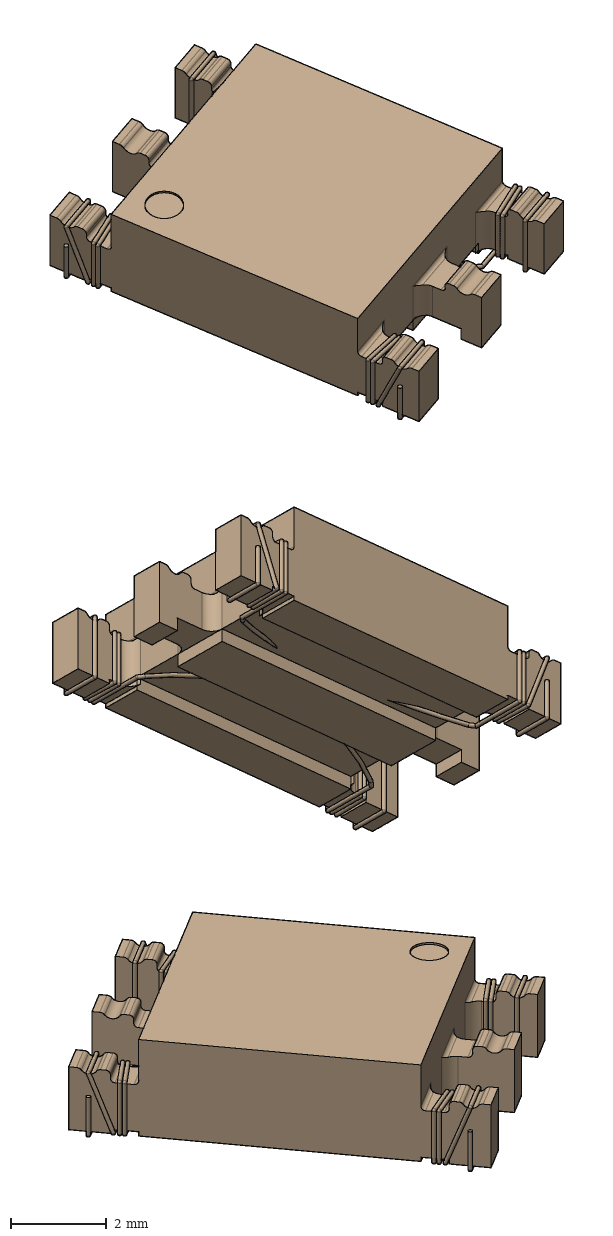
import cadquery as cq
import math

OVERALL_LENGTH = 9.0
BOX_LENGTH = 6.01
BOX_WIDTH = 5.89
BOX_HEIGHT = 2.28
CHANNEL_DEPTH = 0.31
SIDE_RAIL_WIDTH = 0.98

MARK_DIAMETER = 0.81
MARK_DEPTH = 0.045
MARK_X = -2.2
MARK_Y = -2.13

LUG_WIDTH = 0.79
LUG_TOP = 1.485
LUG_FLOOR = 1.21
STEP_X = -3.61
EDGE_RADIUS = 0.1
ROOT_RADIUS = 0.3
GROOVE_X = -4.07
GROOVE_WIDTH = 0.38
GROOVE_DEPTH = 0.13
GROOVE_ENTRY_RADIUS = 0.135
MIDDLE_FOOT_LENGTH = 0.5

WIRE_DIAMETER = 0.1
WIRE_START_Z = 0.855
TURN_PITCH = 0.11
FIRST_TURN_X = -3.51
SLANT_END_X = -3.54
BEND_START_Y = 1.64
ARCH_X = -3.18
ARCH_Y = 1.53
ARCH_Z = 0.07
CROWN_Y = 0.675
CROWN_Z = 0.45

LUG_END = -OVERALL_LENGTH / 2
BOX_FACE = -BOX_LENGTH / 2
SIDE_FACE = BOX_WIDTH / 2
LUG_INNER = SIDE_FACE - LUG_WIDTH
WIRE_RADIUS = WIRE_DIAMETER / 2
MIDDLE_RAIL_WIDTH = LUG_WIDTH + 2 * ROOT_RADIUS


def block(x0, x1, y0, y1, z0, z1):
    return cq.Workplane("XY").box(x1 - x0, y1 - y0, z1 - z0, centered=False).translate((x0, y0, z0))


def lug_profile(foot_end, undercut):
    """Side shape of a lug in XZ, wide enough in Y for every lug."""
    root_arc_center_x = BOX_FACE - EDGE_RADIUS
    root_arc_center_z = LUG_FLOOR + EDGE_RADIUS
    root_arc_middle = (
        root_arc_center_x + EDGE_RADIUS * math.sin(math.pi / 4),
        root_arc_center_z - EDGE_RADIUS * math.cos(math.pi / 4),
    )
    groove_start = GROOVE_X - GROOVE_WIDTH / 2
    groove_end = GROOVE_X + GROOVE_WIDTH / 2
    profile = (
        cq.Workplane("XZ")
        .moveTo(LUG_END, 0)
        .lineTo(LUG_END, LUG_TOP)
        .lineTo(groove_start, LUG_TOP)
        .threePointArc((GROOVE_X, LUG_TOP - GROOVE_DEPTH), (groove_end, LUG_TOP))
        .lineTo(STEP_X, LUG_TOP)
        .lineTo(STEP_X, LUG_FLOOR)
        .lineTo(root_arc_center_x, LUG_FLOOR)
        .threePointArc(root_arc_middle, (BOX_FACE, root_arc_center_z))
        .lineTo(BOX_FACE, undercut)
        .lineTo(foot_end, undercut)
        .lineTo(foot_end, 0)
        .close()
        .extrude(BOX_WIDTH / 2, both=True)
    )
    for x, z, radius in (
        (groove_start, LUG_TOP, GROOVE_ENTRY_RADIUS),
        (groove_end, LUG_TOP, EDGE_RADIUS),
        (STEP_X, LUG_TOP, EDGE_RADIUS),
        (STEP_X, LUG_FLOOR, EDGE_RADIUS),
    ):
        profile = profile.edges(cq.selectors.NearestToPointSelector((x, 0, z))).fillet(radius)
    return profile


def root_flare(side_y, direction):
    """Concave corner, seen from above, between a lug side and the block."""
    center = (BOX_FACE - ROOT_RADIUS, side_y + direction * ROOT_RADIUS)
    arc_middle = (
        center[0] + ROOT_RADIUS * math.cos(math.pi / 4),
        center[1] - direction * ROOT_RADIUS * math.sin(math.pi / 4),
    )
    return (
        cq.Workplane("XY")
        .moveTo(center[0], side_y)
        .threePointArc(arc_middle, (BOX_FACE, center[1]))
        .lineTo(BOX_FACE, side_y)
        .close()
        .extrude(LUG_TOP)
    )


def middle_lug():
    half = LUG_WIDTH / 2
    plan = block(LUG_END, BOX_FACE, -half, half, 0, LUG_TOP)
    plan = plan.union(root_flare(half, 1)).union(root_flare(-half, -1))
    return plan.intersect(lug_profile(LUG_END + MIDDLE_FOOT_LENGTH, CHANNEL_DEPTH))


def corner_lug():
    """Lug at the -X, +Y corner; its underside is relieved by one wire diameter."""
    plan = block(LUG_END, BOX_FACE, LUG_INNER, SIDE_FACE, 0, LUG_TOP)
    plan = plan.union(root_flare(LUG_INNER, -1))
    return plan.intersect(lug_profile(STEP_X, WIRE_DIAMETER))


def make_housing():
    body = block(BOX_FACE, -BOX_FACE, -SIDE_FACE, SIDE_FACE, 0, BOX_HEIGHT)

    channel = block(BOX_FACE, -BOX_FACE, MIDDLE_RAIL_WIDTH / 2, SIDE_FACE - SIDE_RAIL_WIDTH, 0, CHANNEL_DEPTH)
    body = body.cut(channel).cut(channel.mirror("XZ"))

    back_lug = corner_lug()
    for lug in (back_lug, middle_lug(), back_lug.mirror("XZ")):
        body = body.union(lug).union(lug.mirror("YZ"))

    mark = cq.Workplane("XY").circle(MARK_DIAMETER / 2).extrude(MARK_DEPTH)
    return body.cut(mark.translate((MARK_X, MARK_Y, BOX_HEIGHT - MARK_DEPTH)))


def lug_winding_points():
    """Corner points of the wire around the -X, +Y lug, from its free end to the arch."""
    outer_y = SIDE_FACE + WIRE_RADIUS
    inner_y = LUG_INNER - WIRE_RADIUS
    groove_z = LUG_TOP - GROOVE_DEPTH + WIRE_RADIUS
    floor_z = LUG_FLOOR + WIRE_RADIUS
    under_z = WIRE_RADIUS
    second_turn_x = FIRST_TURN_X + TURN_PITCH
    last_turn_x = second_turn_x + TURN_PITCH
    return [
        (GROOVE_X, outer_y, WIRE_START_Z),
        (GROOVE_X, outer_y, -WIRE_RADIUS),
        (GROOVE_X, inner_y, -WIRE_RADIUS),
        (GROOVE_X, inner_y, groove_z),
        (GROOVE_X, outer_y, groove_z),
        (SLANT_END_X, outer_y, under_z),
        (FIRST_TURN_X, inner_y, under_z),
        (FIRST_TURN_X, inner_y, floor_z),
        (second_turn_x, outer_y, floor_z),
        (second_turn_x, outer_y, under_z),
        (second_turn_x, inner_y, under_z),
        (second_turn_x, inner_y, floor_z),
        (last_turn_x, outer_y, floor_z),
        (last_turn_x, outer_y, under_z),
        (last_turn_x, BEND_START_Y, under_z),
        (ARCH_X, ARCH_Y, ARCH_Z),
    ]


def lug_winding(points):
    """Straight strands between the points, with a ball at every bend."""
    winding = None
    for start, end in zip(points, points[1:]):
        start_point = cq.Vector(*start)
        run = cq.Vector(*end) - start_point
        strand = cq.Workplane(cq.Solid.makeCylinder(WIRE_RADIUS, run.Length, start_point, run))
        if winding is None:
            winding = strand
        else:
            bend = cq.Workplane("XY").sphere(WIRE_RADIUS).translate(start)
            winding = winding.union(bend).union(strand)
    return winding


def wire_arch():
    """Circular arc through the block, from one +Y lug over the crown to the other."""
    start = cq.Vector(ARCH_X, ARCH_Y, ARCH_Z)
    crown = cq.Vector(0, CROWN_Y, CROWN_Z)
    end = cq.Vector(-ARCH_X, ARCH_Y, ARCH_Z)
    arc = cq.Edge.makeThreePointArc(start, crown, end)
    section_plane = cq.Plane(origin=start, normal=arc.tangentAt(0))
    return cq.Workplane(section_plane).circle(WIRE_RADIUS).sweep(cq.Workplane(arc))


def make_back_wire():
    """One wire: wound on both +Y lugs and arched through the block between them."""
    points = lug_winding_points()
    end_ball = cq.Workplane("XY").sphere(WIRE_RADIUS).translate(points[-1])
    winding = lug_winding(points).union(end_ball)
    return wire_arch().union(winding).union(winding.mirror("YZ"))


back_wire = make_back_wire()
wires = [back_wire, back_wire.mirror("XZ")]

housing = make_housing()
for wire in wires:
    housing = housing.cut(wire)

result = cq.Compound.makeCompound([housing.solids().val(), *[wire.solids().val() for wire in wires]])